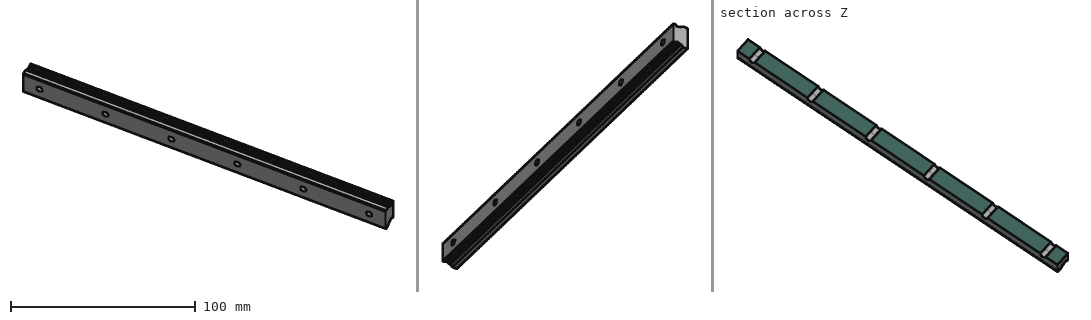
import cadquery as cq

LENGTH = 220.0
HEIGHT = 9.5
BASE_WIDTH = 15.0
HEAD_WIDTH = 12.8
LAND_WIDTH = 12.6
GROOVE_OUTER_WIDTH = 11.7
GROOVE_INNER_WIDTH = 11.1

BASE_CHAMFER = 0.5
FLANGE_TOP = 3.1
LAND_BOTTOM = 4.4
LAND_TOP = 5.25
GROOVE_BOTTOM = 5.75
GROOVE_TOP = 7.1
HEAD_BOTTOM = 8.1

GROOVE_BOW = 0.04

HEAD_CHAMFER_HEIGHT = 0.3
HEAD_CHAMFER_WIDTH = 0.2

HOLE_DIAMETER = 3.5
HOLE_PITCH = 40.0
HOLE_COUNT = 6


def half_rail(side):
    """Half of the rail on one side of the XY plane; side is +1 for +Z and -1 for -Z."""

    def point(height, half_width):
        return (height - HEIGHT / 2, side * half_width)

    groove_middle_height = (GROOVE_BOTTOM + GROOVE_TOP) / 2
    groove_middle_half_width = (GROOVE_OUTER_WIDTH + GROOVE_INNER_WIDTH) / 4 - GROOVE_BOW
    section = (
        cq.Workplane("YZ")
        .moveTo(*point(0, 0))
        .lineTo(*point(0, BASE_WIDTH / 2 - BASE_CHAMFER))
        .lineTo(*point(BASE_CHAMFER, BASE_WIDTH / 2))
        .lineTo(*point(FLANGE_TOP, BASE_WIDTH / 2))
        .lineTo(*point(LAND_BOTTOM, LAND_WIDTH / 2))
        .lineTo(*point(LAND_TOP, LAND_WIDTH / 2))
        .lineTo(*point(GROOVE_BOTTOM, GROOVE_OUTER_WIDTH / 2))
        .threePointArc(
            point(groove_middle_height, groove_middle_half_width),
            point(GROOVE_TOP, GROOVE_INNER_WIDTH / 2),
        )
        .lineTo(*point(HEAD_BOTTOM, HEAD_WIDTH / 2))
        .lineTo(*point(HEIGHT - HEAD_CHAMFER_HEIGHT, HEAD_WIDTH / 2))
        .lineTo(*point(HEIGHT, HEAD_WIDTH / 2 - HEAD_CHAMFER_WIDTH))
        .lineTo(*point(HEIGHT, 0))
        .close()
    )
    return section.extrude(LENGTH / 2, both=True)


def mounting_holes():
    """Row of plain holes through the full height of the rail."""
    return (
        cq.Workplane("XZ")
        .rarray(HOLE_PITCH, 1, HOLE_COUNT, 1)
        .circle(HOLE_DIAMETER / 2)
        .extrude(HEIGHT, both=True)
    )


rail = half_rail(1).union(half_rail(-1)).clean()
result = rail.cut(mounting_holes())